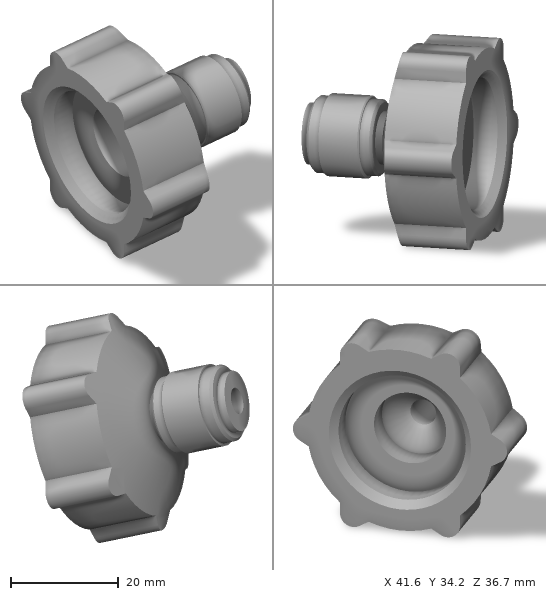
import cadquery as cq
import math


body_radius = 18.0
lobe_count = 6
lobe_tip_radius = 20.8
lobe_round = 2.5
flank_angle = math.radians(30)
lobe_root = 15.8

shoulder_rim_y = 13.0
neck_start_y = 18.43
neck_radius = 10.0 / 2

barrel_start_y = 19.85
barrel_end_y = 32.65
barrel_outer_radius = 14.5 / 2
barrel_inner_radius = 14.4 / 2
barrel_chamfer = 0.5
collar_start_y = 22.2
collar_end_y = 30.05
collar_radius = 15.5 / 2
collar_chamfer = 0.25
tip_end_y = 34.2
tip_width = 10.0
tip_height = 11.65

recess_radius = 24.7 / 2
lip_end_y = 5.75
recess_depth = 6.57
mouth_chamfer = 1.45
undercut_radius = recess_radius + mouth_chamfer
bore_radius = 14.0 / 2
bore_end_y = 11.75
funnel_end_y = 15.1
hole_radius = 5.0 / 2


def disc(radius, start_y, end_y):
    """Cylinder about the Y axis between two stations."""
    return xz_plane(start_y).circle(radius).extrude(end_y - start_y)


def xz_plane(y):
    """Sketch plane across the axis: local x = X, local y = -Z, normal = +Y."""
    return cq.Workplane(cq.Plane(origin=(0, y, 0), xDir=(1, 0, 0), normal=(0, 1, 0)))


def revolve_about_axis(points):
    """Turn a closed (radius, Y) outline about the Y axis."""
    return cq.Workplane("XY").polyline(points).close().revolve(360, (0, 0, 0), (0, 1, 0))


def make_lobe():
    """One rounded lobe pointing along +X, with flanks tangent to its tip arc."""
    arc_centre = lobe_tip_radius - lobe_round
    tangent_x = arc_centre + lobe_round * math.sin(flank_angle)
    tangent_z = lobe_round * math.cos(flank_angle)
    root_z = tangent_z + (tangent_x - lobe_root) * math.tan(flank_angle)
    return (
        xz_plane(0)
        .moveTo(lobe_root, -root_z)
        .lineTo(tangent_x, -tangent_z)
        .threePointArc((lobe_tip_radius, 0), (tangent_x, tangent_z))
        .lineTo(lobe_root, root_z)
        .close()
        .extrude(neck_start_y)
    )


def make_grip():
    """Lobed body trimmed by the conical shoulder."""
    grip = disc(body_radius, 0, neck_start_y)
    lobe = make_lobe()
    for index in range(lobe_count):
        grip = grip.union(lobe.rotate((0, 0, 0), (0, 1, 0), index * 360 / lobe_count))
    envelope = revolve_about_axis([
        (0, 0),
        (lobe_tip_radius, 0),
        (lobe_tip_radius, shoulder_rim_y),
        (neck_radius, neck_start_y),
        (0, neck_start_y),
    ])
    return grip.intersect(envelope)


def make_connector():
    """Neck, chamfered barrel, collar and oval tip."""
    neck = disc(neck_radius, neck_start_y, barrel_start_y)
    inner_barrel = disc(barrel_inner_radius, barrel_start_y, collar_end_y)
    inner_barrel = inner_barrel.faces("<Y").edges().chamfer(barrel_chamfer)
    outer_barrel = disc(barrel_outer_radius, collar_end_y, barrel_end_y)
    outer_barrel = outer_barrel.faces(">Y").edges().chamfer(barrel_chamfer)
    collar = disc(collar_radius, collar_start_y, collar_end_y).faces("<Y").edges().chamfer(collar_chamfer)
    tip_length = tip_end_y - barrel_end_y
    tip = xz_plane(barrel_end_y).ellipse(tip_width / 2, tip_height / 2).extrude(tip_length)
    return neck.union(inner_barrel).union(outer_barrel).union(collar).union(tip)


def make_cavity():
    """Chamfered recess with an undercut at its floor, bore, funnel and through hole."""
    return revolve_about_axis([
        (0, 0),
        (recess_radius + mouth_chamfer, 0),
        (recess_radius, mouth_chamfer),
        (recess_radius, lip_end_y),
        (undercut_radius, lip_end_y),
        (undercut_radius, recess_depth),
        (bore_radius, recess_depth),
        (bore_radius, bore_end_y),
        (hole_radius, funnel_end_y),
        (hole_radius, tip_end_y),
        (0, tip_end_y),
    ])


result = make_grip().union(make_connector()).cut(make_cavity())